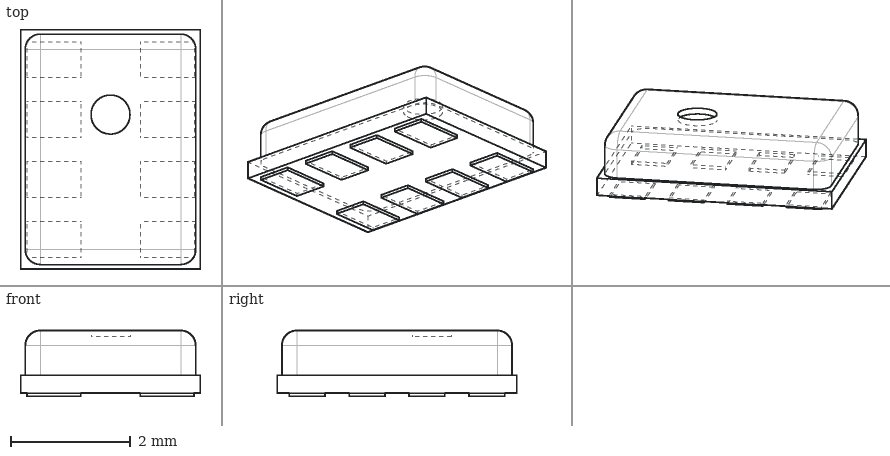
import cadquery as cq

length_x = 3.0
length_y = 4.0
total_height = 1.1

board_thickness = 0.3
pad_thickness = 0.05
lid_margin = 0.075
lid_radius = 0.25

port_diameter = 0.65
port_y = 0.58
port_depth = 0.1

pad_x = 0.9
pad_y = 0.6
pad_pitch_x = 1.89
pad_pitch_y = 1.0
pad_columns = 2
pad_rows = 4

board_top = pad_thickness + board_thickness
lid_height = total_height - board_top


def make_board():
    """Rectangular board resting on the pads."""
    return (
        cq.Workplane("XY", origin=(0, 0, pad_thickness))
        .rect(length_x, length_y)
        .extrude(board_thickness)
    )


def make_lid():
    """Lid with rounded vertical corners and a rounded top edge."""
    return (
        cq.Workplane("XY", origin=(0, 0, board_top))
        .rect(length_x - 2 * lid_margin, length_y - 2 * lid_margin)
        .extrude(lid_height)
        .edges("|Z or >Z")
        .fillet(lid_radius)
    )


def make_pads():
    """Grid of thin pads on the underside of the board."""
    return (
        cq.Workplane("XY")
        .rarray(pad_pitch_x, pad_pitch_y, pad_columns, pad_rows)
        .rect(pad_x, pad_y)
        .extrude(pad_thickness)
    )


def make_port():
    """Blind round port cut down from the top of the lid."""
    return (
        cq.Workplane("XY", origin=(0, port_y, total_height - port_depth))
        .circle(port_diameter / 2)
        .extrude(port_depth)
    )


result = make_board().union(make_lid()).union(make_pads()).cut(make_port())